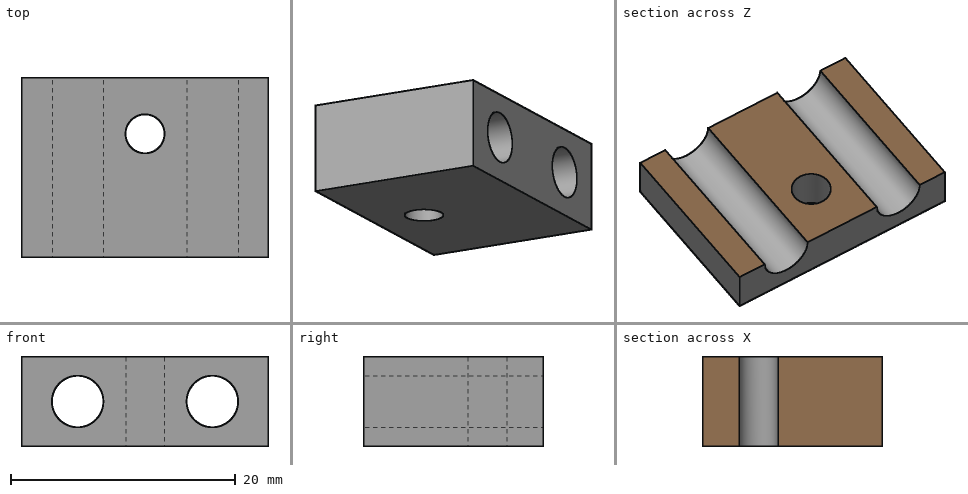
import cadquery as cq

length = 22.0
depth = 16.0
height = 8.0

bore_diameter = 4.572
bore_spacing = 12.0

vertical_hole_diameter = 3.454
vertical_hole_back_offset = 5.0


def make_block():
    """Plain rectangular block centred on the origin."""
    return cq.Workplane("XY").box(length, depth, height)


def cut_bores(body):
    """Cut the pair of through bores, placed symmetrically about X = 0."""
    centers = [(-bore_spacing / 2, 0), (bore_spacing / 2, 0)]
    bores = (
        cq.Workplane("XZ")
        .pushPoints(centers)
        .circle(bore_diameter / 2)
        .extrude(depth / 2, both=True)
    )
    return body.cut(bores)


def cut_vertical_hole(body):
    """Cut the through hole between the top and bottom faces."""
    hole_y = depth / 2 - vertical_hole_back_offset
    hole = (
        cq.Workplane("XY")
        .center(0, hole_y)
        .circle(vertical_hole_diameter / 2)
        .extrude(height / 2, both=True)
    )
    return body.cut(hole)


result = cut_vertical_hole(cut_bores(make_block())).val()